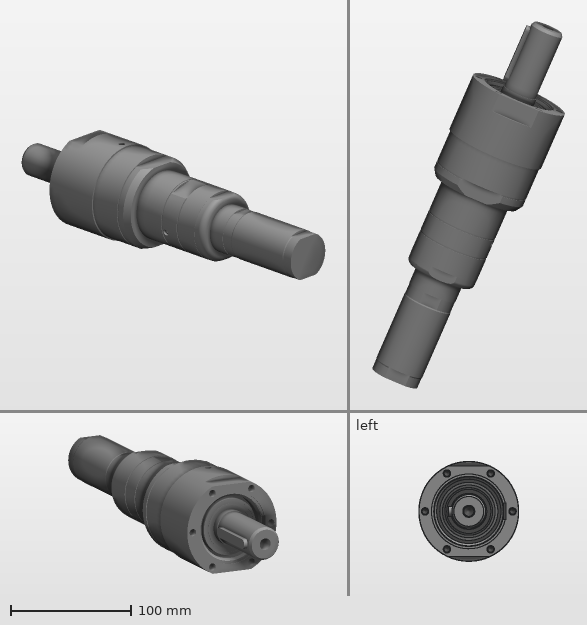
import cadquery as cq
import math

total_length = 322.0
shaft_end = 59.2
body_face = 61.2
body_flat_end = 76.5
housing_start = 110.8
shoulder_start = 138.8
shoulder_cone_start = 146.0
sleeve_start = 151.5
collar_start = 180.0
collar_end = 199.3
nose_start = 218.5
tail_start = 228.0
tail_neck_start = 242.8
tail_neck_end = 252.5
tail_end_start = 312.5

shaft_diameter = 28.0
shaft_collar_diameter = 30.0
body_diameter = 83.0
housing_diameter = 80.5
shoulder_end_diameter = 73.5
sleeve_diameter = 60.0
nose_diameter = 59.5
tail_diameter = 41.5
tail_neck_diameter = 41.0

shaft_chamfer_length = 2.5
shaft_chamfer_height = 1.5
nose_fillet = 4.8
tail_chamfer = 1.0
groove_width = 1.3
groove_depth = 0.5

body_flats = 75.0
shoulder_flats = 71.0
collar_flat_span = 54.7
nose_flats = 54.7
tail_neck_flats = 37.7
tail_end_flats = 36.5
collar_tilt = 15.0

key_start = 4.8
key_length = 50.2
key_width = 8.5
key_top = 17.0

drill_point_angle = 118.0
center_thread_diameter = 10.0
center_drill_diameter = 8.5
center_thread_depth = 19.3
bolt_count = 6
bolt_circle_diameter = 72.8
bolt_thread_diameter = 6.0
bolt_drill_diameter = 4.8
bolt_thread_depth = 9.5
port_diameter = 5.5
port_depth = 2.0
port_drill_diameter = 3.2
port_drill_depth = 4.8
thread_runout = 1.5
body_port_x = 104.5
collar_port_x = 184.5

recess_diameter = 62.0
retaining_ring_inner_diameter = 58.3
retaining_ring_setback = 1.0
lip_outer_diameter = 57.3
lip_inner_diameter = 53.5
lip_setback = 1.5
ring_gap_width = 13.5
channel_depth = 11.3
bearing_diameter = 48.3
bearing_setback = 4.0
seal_outer_diameter = 43.8
seal_inner_diameter = 39.5
seal_setback = 0.3
race_diameter = 36.7


def revolve_about_x(points):
    """Revolve a closed (x, radius) outline about the X axis."""
    return cq.Workplane("XY").polyline(points).close().revolve(360, (0, 0, 0), (1, 0, 0))


def tube(start, end, outer_diameter, inner_diameter):
    """Tube along X between two stations."""
    section = cq.Workplane("YZ").workplane(offset=start).circle(outer_diameter / 2)
    return section.circle(inner_diameter / 2).extrude(end - start)


def spindle():
    """Stepped round body from the drive shaft to the tail."""
    nose_fillet_start = tail_start - nose_fillet
    nose_end_radius = nose_diameter / 2 - nose_fillet
    fillet_bulge = nose_fillet * math.sqrt(0.5)
    outline = (
        cq.Workplane("XY")
        .moveTo(0, 0)
        .lineTo(0, shaft_diameter / 2 - shaft_chamfer_height)
        .lineTo(shaft_chamfer_length, shaft_diameter / 2)
        .lineTo(shaft_end, shaft_diameter / 2)
        .lineTo(shaft_end, shaft_collar_diameter / 2)
        .lineTo(body_face, shaft_collar_diameter / 2)
        .lineTo(body_face, body_diameter / 2)
        .lineTo(housing_start, body_diameter / 2)
        .lineTo(housing_start, housing_diameter / 2)
        .lineTo(shoulder_cone_start, housing_diameter / 2)
        .lineTo(sleeve_start, shoulder_end_diameter / 2)
        .lineTo(sleeve_start, sleeve_diameter / 2)
        .lineTo(nose_start, sleeve_diameter / 2)
        .lineTo(nose_start, nose_diameter / 2)
        .lineTo(nose_fillet_start, nose_diameter / 2)
        .threePointArc(
            (nose_fillet_start + fillet_bulge, nose_end_radius + fillet_bulge),
            (tail_start, nose_end_radius),
        )
        .lineTo(tail_start, tail_diameter / 2)
        .lineTo(tail_neck_start, tail_diameter / 2)
        .lineTo(tail_neck_start, tail_neck_diameter / 2)
        .lineTo(tail_neck_end, tail_neck_diameter / 2)
        .lineTo(tail_neck_end + tail_chamfer, tail_diameter / 2)
        .lineTo(tail_end_start, tail_diameter / 2)
        .lineTo(tail_end_start + tail_chamfer, tail_neck_diameter / 2)
        .lineTo(total_length, tail_neck_diameter / 2)
        .lineTo(total_length, 0)
        .close()
    )
    return outline.revolve(360, (0, 0, 0), (1, 0, 0))


def relief_groove(start, diameter):
    return tube(start, start + groove_width, diameter + 2 * groove_depth, diameter - 2 * groove_depth)


def flat_cut(start, end, across_flats):
    """Material removed above a flat that faces +Z."""
    height = body_diameter / 2
    block = cq.Workplane("XY").box(end - start, 2 * body_diameter, height)
    return block.translate(((start + end) / 2, 0, (across_flats + height) / 2))


def flat_pair(start, end, across_flats):
    """Material removed to leave two opposite flats facing +Z and -Z."""
    upper = flat_cut(start, end, across_flats)
    return upper.union(upper.mirror("XY"))


def collar_flat():
    """Single flat on the collar, tilted from +Z toward -Y."""
    flat = flat_cut(collar_start + groove_width, collar_end - groove_width, collar_flat_span)
    return flat.rotate((0, 0, 0), (1, 0, 0), collar_tilt)


def threaded_hole(start, thread_diameter, drill_diameter, thread_depth):
    """Blind hole along +X on the axis: thread bore, then the smaller drill with its point."""
    drill_end = start + thread_depth + thread_runout
    point_length = drill_diameter / 2 / math.tan(math.radians(drill_point_angle / 2))
    return revolve_about_x([
        (start, 0),
        (start, thread_diameter / 2),
        (start + thread_depth, thread_diameter / 2),
        (start + thread_depth, drill_diameter / 2),
        (drill_end, drill_diameter / 2),
        (drill_end + point_length, 0),
    ])


def bolt_holes():
    hole = threaded_hole(body_face, bolt_thread_diameter, bolt_drill_diameter, bolt_thread_depth)
    hole = hole.translate((0, bolt_circle_diameter / 2, 0))
    holes = hole
    for index in range(1, bolt_count):
        holes = holes.union(hole.rotate((0, 0, 0), (1, 0, 0), index * 360 / bolt_count))
    return holes


def radial_port(x, surface_radius, tilt):
    """Blind stepped radial hole entering from +Z, tilted about X."""
    floor = surface_radius - port_depth
    drill_floor = surface_radius - port_drill_depth
    port = cq.Workplane("XY", origin=(x, 0, floor)).circle(port_diameter / 2).extrude(2 * port_depth)
    drill = cq.Workplane("XY", origin=(x, 0, drill_floor)).circle(port_drill_diameter / 2)
    port = port.union(drill.extrude(port_drill_depth))
    return port.rotate((0, 0, 0), (1, 0, 0), tilt)


def shaft_key():
    """Round-ended key standing out of the shaft toward +Y."""
    key = cq.Workplane("XZ").center(key_start + key_length / 2, 0)
    return key.slot2D(key_length, key_width).extrude(-key_top)


def face_recess():
    """Recess around the shaft, with a deep channel around the bearing left standing."""
    ring_face = body_face + retaining_ring_setback
    lip_start = body_face + lip_setback
    lip_end = lip_start + (lip_outer_diameter - lip_inner_diameter) / 2
    channel_end = body_face + channel_depth
    bearing_face = body_face + bearing_setback
    seal_face = bearing_face + seal_setback
    return revolve_about_x([
        (body_face, shaft_collar_diameter / 2),
        (body_face, recess_diameter / 2),
        (ring_face, recess_diameter / 2),
        (ring_face, retaining_ring_inner_diameter / 2),
        (lip_start, retaining_ring_inner_diameter / 2),
        (lip_start, lip_outer_diameter / 2),
        (lip_end, lip_inner_diameter / 2),
        (channel_end, lip_inner_diameter / 2),
        (channel_end, bearing_diameter / 2),
        (bearing_face, bearing_diameter / 2),
        (bearing_face, seal_outer_diameter / 2),
        (seal_face, seal_outer_diameter / 2),
        (seal_face, seal_inner_diameter / 2),
        (bearing_face, seal_inner_diameter / 2),
        (bearing_face, race_diameter / 2),
        (seal_face, race_diameter / 2),
        (seal_face, shaft_collar_diameter / 2),
    ])


def ring_gap():
    """Gap in the retaining ring toward -Y, as deep as the channel."""
    inner_y = lip_outer_diameter / 2
    outer_y = recess_diameter / 2
    gap = cq.Workplane("XY").box(channel_depth, outer_y - inner_y, ring_gap_width)
    return gap.translate((body_face + channel_depth / 2, -(inner_y + outer_y) / 2, 0))


result = spindle().union(shaft_key())

for groove_start, groove_diameter in [
    (shoulder_start, housing_diameter),
    (collar_start, sleeve_diameter),
    (collar_end - groove_width, sleeve_diameter),
]:
    result = result.cut(relief_groove(groove_start, groove_diameter))

for flats in [
    flat_pair(body_face, body_flat_end, body_flats),
    flat_pair(shoulder_start, sleeve_start, shoulder_flats),
    collar_flat(),
    flat_pair(nose_start, tail_start, nose_flats),
    flat_pair(tail_neck_start, tail_neck_end, tail_neck_flats),
    flat_pair(tail_end_start, total_length, tail_end_flats),
]:
    result = result.cut(flats)

result = result.cut(face_recess()).cut(ring_gap())
result = result.cut(bolt_holes())
result = result.cut(
    threaded_hole(0, center_thread_diameter, center_drill_diameter, center_thread_depth)
)
result = result.cut(radial_port(body_port_x, body_diameter / 2, 0))
result = result.cut(radial_port(collar_port_x, sleeve_diameter / 2, 90 + collar_tilt))